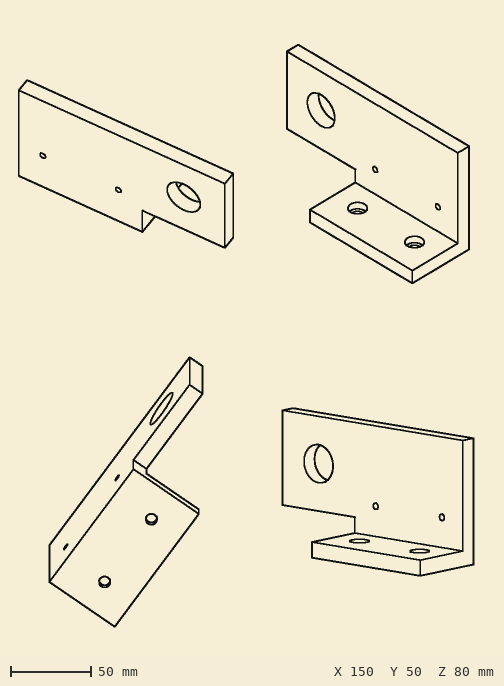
import cadquery as cq

plate_length = 150.0
plate_height = 80.0
thickness = 10.0

foot_length = 90.0
foot_depth = 50.0
step_height = 20.0

bore_diameter = 24.0
bore_x = 120.0
bore_z = (plate_height + step_height) / 2

pin_diameter = 4.0
pin_spacing = 55.0
pin_z = 29.1

screw_diameter = 7.0
head_diameter = 12.0
head_depth = 5.0
screw_spacing = 50.0
screw_y = 28.0


def pair_about_foot_center(spacing):
    """X positions of two holes placed evenly about the middle of the foot."""
    return [foot_length / 2 - spacing / 2, foot_length / 2 + spacing / 2]


def make_plate():
    """Upright plate with a stepped lower edge."""
    return (
        cq.Workplane("XZ")
        .moveTo(0, 0)
        .lineTo(foot_length, 0)
        .lineTo(foot_length, step_height)
        .lineTo(plate_length, step_height)
        .lineTo(plate_length, plate_height)
        .lineTo(0, plate_height)
        .close()
        .extrude(-thickness)
    )


def make_foot():
    """Horizontal foot reaching back from the outer face of the plate."""
    return cq.Workplane("XY").box(foot_length, foot_depth, thickness, centered=False)


def plate_hole(x, z, diameter):
    """Cutter for a hole through the plate along Y."""
    return cq.Workplane("XZ").center(x, z).circle(diameter / 2).extrude(-thickness)


def screw_hole(x):
    """Cutter for a screw hole through the foot, counterbored from the top."""
    shank = cq.Workplane("XY").center(x, screw_y).circle(screw_diameter / 2).extrude(thickness)
    head = (
        cq.Workplane("XY", origin=(x, screw_y, thickness))
        .circle(head_diameter / 2)
        .extrude(-head_depth)
    )
    return shank.union(head)


result = make_plate().union(make_foot())
result = result.cut(plate_hole(bore_x, bore_z, bore_diameter))
for pin_x in pair_about_foot_center(pin_spacing):
    result = result.cut(plate_hole(pin_x, pin_z, pin_diameter))
for screw_x in pair_about_foot_center(screw_spacing):
    result = result.cut(screw_hole(screw_x))